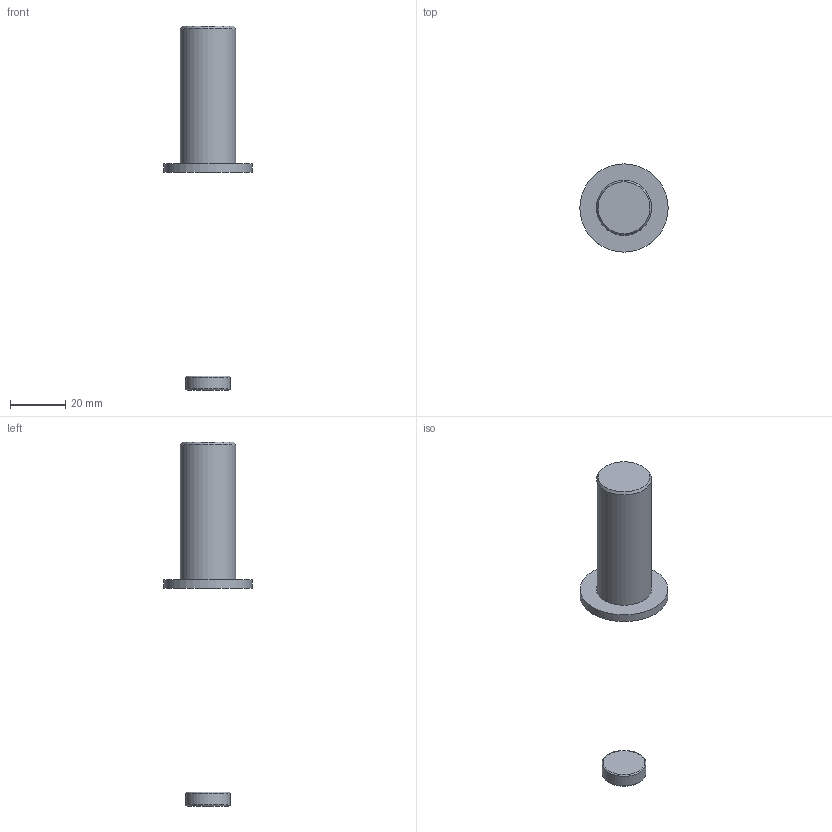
import cadquery as cq
import math

overall_height = 132.0

disc_diameter = 16.0
disc_height = 5.0
disc_fillet = 0.4

flange_diameter = 32.0
flange_height = 3.0
shank_diameter = 20.0
shank_length = 50.0
chamfer_height = 1.0
chamfer_angle = 30.0
chamfer_inset = chamfer_height * math.tan(math.radians(chamfer_angle))

pin_base_z = overall_height - shank_length - flange_height


def make_disc():
    """Low round disc with rounded rims at both ends."""
    return (
        cq.Workplane("XY")
        .circle(disc_diameter / 2)
        .extrude(disc_height)
        .faces("<Z or >Z")
        .edges()
        .fillet(disc_fillet)
    )


def make_headed_pin():
    """Cylindrical shank standing on a flat round flange, chamfered at its free end."""
    flange = (
        cq.Workplane("XY")
        .workplane(offset=pin_base_z)
        .circle(flange_diameter / 2)
        .extrude(flange_height)
    )
    return (
        flange.faces(">Z")
        .workplane()
        .circle(shank_diameter / 2)
        .extrude(shank_length)
        .faces(">Z")
        .edges()
        .chamfer(chamfer_height, chamfer_inset)
    )


disc = make_disc()
headed_pin = make_headed_pin()

result = cq.Compound.makeCompound([disc.val(), headed_pin.val()])